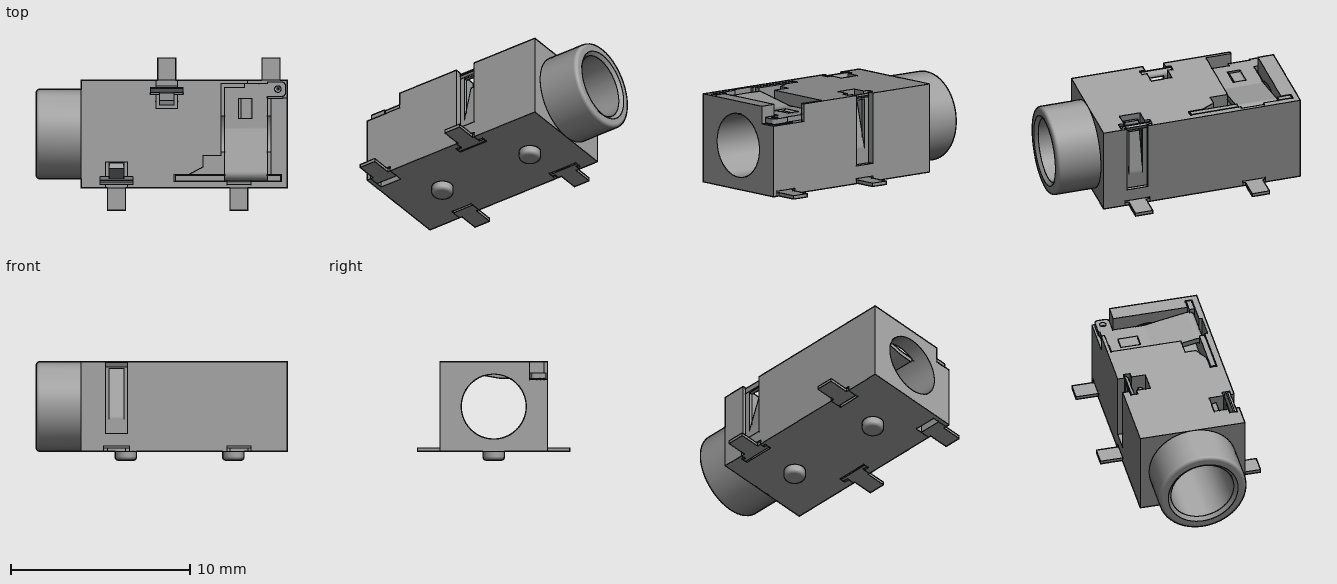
import cadquery as cq
import math

total_length = 14.0
nose_length = 2.5
body_width = 6.0
body_height = 5.0
body_side = body_width / 2
nose_radius = body_height / 2
bore_z = body_height / 2
bore_radius = 1.8
rim_fillet = 0.2
entry_chamfer = 0.2

peg_positions = (5.0, 10.99)
peg_radius = 0.6
peg_drop = 0.5
peg_fillet = 0.21

sheet = 0.2
bend_radius = 0.2
lead_width = 1.01
lead_reach = 8.5 / 2
lead_opening_height = 0.3

pocket_width = 1.2
pocket_floor = 1.01
plate_width = 1.82
tongue_width = 0.81
window_bottom = 1.8
window_top = 4.6
tongue_root_z = 1.88
tongue_root_radius = 0.48
tongue_tip_y = 1.62
tongue_fold = math.radians(18)
lip_z = 4.7

sleeve_x = 4.48
sleeve_face = 2.69
sleeve_slot = (2.38, 2.81)
sleeve_pocket_inner = 1.57
sleeve_foot_width = 1.44
sleeve_lip_inner = 2.59
sleeve_lip_outer = 2.67
sleeve_lip_tip_z = 4.94
sleeve_elbow = (1.92, 4.76)

ring_x = 7.28
ring_face = 2.49
ring_slot = (2.21, 2.6)
ring_pocket_inner = 1.41
ring_foot_width = pocket_width
ring_bend_well_outer = 2.69
ring_lip_top = 4.93
ring_lip_inner = 2.55
ring_lip_tip_z = 4.82
ring_lip_radius = 0.25
ring_elbow = (1.88, 4.34)

spring_sheet = 0.3
arm_front = 10.5
arm_rear = 12.88
arm_flat_bottom = 4.07
arm_flat_top = arm_flat_bottom + spring_sheet
arm_slope = math.radians(10.5)
arm_break_y = 0.31
arm_break_radius = 0.49
arm_bend_radius = 0.39
spring_face = 2.6
arm_corner_z = arm_flat_top + (arm_break_y + spring_face) * math.tan(arm_slope)
flat_end_front = 2.59
flat_end_rear = 2.81
flat_step_x = 11.6

tab_end_x = 13.89
tab_y = (2.09, 2.9)
tab_radius = 0.2
dimple_x = 13.47
dimple_y = 2.5
dimple_radius = 0.18
dimple_bottom_radius = 0.05
dimple_depth = 0.1

trough_x = (11.28, 12.04)
trough_y = (0.87, 1.99)
trough_depth = 0.11
trough_slope_run = 0.13

strip_x = (7.77, 13.62)
strip_bottom = 2.5
strip_slot_x = (7.69, 13.68)
strip_slot_y = (-2.65, -2.25)
leg_slot_width = 1.33
leg_slot_outer = 2.81
spring_lead_x = 11.3

switch_lead_x = 13.09
switch_face = 2.6
switch_slot = (2.0, 2.81)

recess_floor = 4.0
recess_front = 10.3
recess_rear = 13.09
recess_side = 2.81
low_wall_start = 11.77
step_front = 9.3
step_y = -1.2
step_corner_y = -1.83
step_tip_x = 8.51


def block(x_range, y_range, z_range):
    """Axis-aligned block between the given limits."""
    sides = [high - low for low, high in (x_range, y_range, z_range)]
    return cq.Workplane("XY").box(*sides, centered=False).translate((x_range[0], y_range[0], z_range[0]))


def around(middle, width):
    """Limits of a span of the given width about its middle."""
    return (middle - width / 2, middle + width / 2)


def on_side(side, near, far):
    """Y limits of a span at distances near..far from the centre plane, side = -1 or +1."""
    return tuple(sorted((side * near, side * far)))


def extruded_profile(points, middle_x, width):
    """Y-Z outline extruded along X, symmetric about middle_x."""
    profile = cq.Workplane("YZ", origin=(middle_x, 0, 0)).polyline(points).close()
    return profile.extrude(width / 2, both=True)


def lead_foot(x, side, face, foot_width):
    """Foot on the underside: a wide part inside the wall, a rounded bend and the narrow lead outside."""
    inner = face - sheet
    foot = block(around(x, foot_width), on_side(side, inner, body_side), (0, sheet))
    lead = block(around(x, lead_width), on_side(side, inner, lead_reach), (0, sheet))
    bend = block(around(x, foot_width), on_side(side, inner, face + bend_radius), (0, sheet + bend_radius))
    hollow = (
        cq.Workplane("YZ", origin=(x, side * (face + bend_radius), sheet + bend_radius))
        .circle(bend_radius)
        .extrude(foot_width / 2, both=True)
    )
    return foot.union(lead).union(bend.cut(hollow))


def shell():
    body = block((nose_length, total_length), (-body_side, body_side), (0, body_height))
    nose = cq.Workplane("YZ", origin=(0, 0, bore_z)).circle(nose_radius).extrude(nose_length)
    nose = nose.faces("<X").edges().fillet(rim_fillet)
    bore = cq.Workplane("YZ", origin=(0, 0, bore_z)).circle(bore_radius).extrude(total_length)
    entry = cq.Workplane("YZ", origin=(0, 0, bore_z)).circle(bore_radius + entry_chamfer)
    entry = entry.workplane(offset=entry_chamfer).circle(bore_radius).loft()
    return body.union(nose).cut(bore).cut(entry)


def peg(x):
    post = cq.Workplane("XY", origin=(x, 0, 0)).circle(peg_radius).extrude(-peg_drop)
    return post.faces("<Z").edges().fillet(peg_fillet)


def side_contact_cavity(x, side, slot, pocket_inner, foot_width):
    """Plate slot through the full height, pocket open to the wall and the top, and the lead opening."""
    plate_slot = block(around(x, plate_width), on_side(side, *slot), (0, body_height))
    pocket_y = on_side(side, pocket_inner, body_side)
    pocket = block(around(x, pocket_width), pocket_y, (pocket_floor, body_height))
    opening = block(around(x, foot_width), on_side(side, slot[0], body_side), (0, lead_opening_height))
    return plate_slot.union(pocket).union(opening)


def ring_bend_well():
    """Room beside the ring contact's slot for the bend into its lead."""
    return block(around(ring_x, ring_foot_width), (ring_slot[0], ring_bend_well_outer), (0, pocket_floor))


def leg_cavity(x, side, slot, top):
    """Vertical slot for a leg and the opening for its lead."""
    leg_slot = block(around(x, leg_slot_width), on_side(side, *slot), (0, top))
    opening = block(around(x, leg_slot_width), on_side(side, slot[0], body_side), (0, lead_opening_height))
    return leg_slot.union(opening)


def spring_recess():
    """Recess below the top face for the spring arm, open to the +Y wall at the rear."""
    slot_inner = strip_slot_y[1]
    outline = [
        (recess_front, recess_side),
        (low_wall_start, recess_side),
        (low_wall_start, body_side),
        (total_length, body_side),
        (total_length, switch_slot[0]),
        (recess_rear, switch_slot[0]),
        (recess_rear, slot_inner),
        (step_tip_x, slot_inner),
        (step_front, step_corner_y),
        (step_front, step_y),
        (recess_front, step_y),
    ]
    floor = cq.Workplane("XY", origin=(0, 0, recess_floor)).polyline(outline).close()
    strip_slot = block(strip_slot_x, strip_slot_y, (strip_bottom, body_height))
    return floor.extrude(body_height - recess_floor).union(strip_slot)


def make_housing():
    housing = shell()
    for x in peg_positions:
        housing = housing.union(peg(x))
    cavities = [
        side_contact_cavity(sleeve_x, -1, sleeve_slot, sleeve_pocket_inner, sleeve_foot_width),
        side_contact_cavity(ring_x, 1, ring_slot, ring_pocket_inner, ring_foot_width),
        ring_bend_well(),
        leg_cavity(spring_lead_x, -1, (-strip_slot_y[1], leg_slot_outer), body_height),
        leg_cavity(switch_lead_x, 1, switch_slot, recess_floor),
        spring_recess(),
    ]
    for cavity in cavities:
        housing = housing.cut(cavity)
    return housing


def contact_window(x, side, face):
    """Opening through the plate from which the tongue is cut."""
    return block(around(x, tongue_width), on_side(side, face - sheet, face), (window_bottom, window_top))


def contact_tongue(x, side, face, elbow):
    """Tongue that leans inward from the foot of the window and folds down at its tip."""
    inner = face - sheet
    elbow_y, elbow_z = elbow
    fold_slope = math.tan(tongue_fold)
    tip_z = elbow_z - (elbow_y - tongue_tip_y) * fold_slope
    tip_under_y = tongue_tip_y + sheet * math.sin(tongue_fold)
    tip_under_z = tip_z - sheet * math.cos(tongue_fold)
    lean = (face - elbow_y) / (elbow_z - tongue_root_z)
    run_to_tip = inner - tip_under_y - lean * (tip_under_z - tongue_root_z)
    fold_under_z = tip_under_z + run_to_tip * fold_slope / (1 + lean * fold_slope)
    fold_under_y = inner - lean * (fold_under_z - tongue_root_z)
    outline = [
        (face, window_bottom),
        (face, tongue_root_z),
        elbow,
        (tongue_tip_y, tip_z),
        (tip_under_y, tip_under_z),
        (fold_under_y, fold_under_z),
        (inner, tongue_root_z),
        (inner, window_bottom),
    ]
    tongue = extruded_profile([(side * y, z) for y, z in outline], x, tongue_width)
    root = cq.NearestToPointSelector((x, side * face, tongue_root_z))
    return tongue.edges(root).fillet(tongue_root_radius)


def make_sleeve_contact():
    """Plate with a flat-topped outward lip, a tongue and a lead on the -Y side."""
    inner = sleeve_face - sheet
    plate = extruded_profile(
        [
            (-sleeve_face, 0),
            (-inner, 0),
            (-inner, lip_z),
            (-sleeve_lip_inner, body_height),
            (-sleeve_lip_outer, body_height),
            (-sleeve_slot[1], sleeve_lip_tip_z),
            (-sleeve_face, lip_z),
        ],
        sleeve_x,
        plate_width,
    )
    contact = plate.cut(contact_window(sleeve_x, -1, sleeve_face))
    contact = contact.union(contact_tongue(sleeve_x, -1, sleeve_face, sleeve_elbow))
    return contact.union(lead_foot(sleeve_x, -1, sleeve_face, sleeve_foot_width))


def make_ring_contact():
    """Plate with a rounded outward lip, a tongue and a lead on the +Y side."""
    inner = ring_face - sheet
    plate = extruded_profile(
        [
            (inner, 0),
            (ring_face, 0),
            (ring_face, lip_z),
            (ring_slot[1], ring_lip_tip_z),
            (ring_slot[1], ring_lip_top),
            (ring_lip_inner, ring_lip_top),
            (inner, lip_z),
        ],
        ring_x,
        plate_width,
    )
    plate = plate.edges(cq.NearestToPointSelector((ring_x, inner, lip_z))).fillet(ring_lip_radius)
    contact = plate.cut(contact_window(ring_x, 1, ring_face))
    contact = contact.union(contact_tongue(ring_x, 1, ring_face, ring_elbow))
    return contact.union(lead_foot(ring_x, 1, ring_face, ring_foot_width))


def spring_arm():
    """Level flat, climbing arm and rounded turn down into the strip, as one bent sheet."""
    inner = spring_face - spring_sheet
    drop = spring_sheet / math.cos(arm_slope)
    under_break_y = arm_break_y - spring_sheet * math.tan(arm_slope / 2)
    under_corner_z = arm_corner_z - drop - spring_sheet * math.tan(arm_slope)
    arm = extruded_profile(
        [
            (flat_end_front, arm_flat_bottom),
            (flat_end_front, arm_flat_top),
            (arm_break_y, arm_flat_top),
            (-spring_face, arm_corner_z),
            (-spring_face, strip_bottom),
            (-inner, strip_bottom),
            (-inner, under_corner_z),
            (under_break_y, arm_flat_bottom),
        ],
        (arm_front + arm_rear) / 2,
        arm_rear - arm_front,
    )
    rounded_edges = [
        (arm_break_y, arm_flat_top, arm_break_radius),
        (under_break_y, arm_flat_bottom, arm_break_radius + spring_sheet),
        (-spring_face, arm_corner_z, arm_bend_radius),
        (-inner, under_corner_z, arm_bend_radius - spring_sheet),
    ]
    for y, z, radius in rounded_edges:
        arm = arm.edges(cq.NearestToPointSelector(((arm_front + arm_rear) / 2, y, z))).fillet(radius)
    return arm


def flat_end():
    """Rear extension of the flat and the rounded tab beside it."""
    level = (arm_flat_bottom, arm_flat_top)
    extension = block((flat_step_x, arm_rear), (tab_y[0], flat_end_rear), level)
    tab = block((flat_step_x, tab_end_x), tab_y, level).edges("|Z and >X").fillet(tab_radius)
    tab = tab.cut(block((flat_step_x, arm_rear), tab_y, level))
    return extension.union(tab)


def dimple():
    cone = cq.Workplane("XY", origin=(dimple_x, dimple_y, arm_flat_top)).circle(dimple_radius)
    return cone.workplane(offset=-dimple_depth).circle(dimple_bottom_radius).loft()


def trough():
    """Shallow pressed trough with a sloped front wall and a rounded rear wall."""
    front, rear = trough_x
    bottom = arm_flat_top - trough_depth
    middle_of_arc = trough_depth * math.sqrt(0.5)
    profile = (
        cq.Workplane("XZ", origin=(0, trough_y[1], 0))
        .moveTo(front, arm_flat_top)
        .lineTo(front + trough_slope_run, bottom)
        .lineTo(rear - trough_depth, bottom)
        .threePointArc(
            (rear - trough_depth + middle_of_arc, arm_flat_top - middle_of_arc), (rear, arm_flat_top)
        )
        .close()
    )
    return profile.extrude(trough_y[1] - trough_y[0])


def spring_strip():
    """Upright strip held in the -Y wall, open above the arm, with its leg and lead."""
    strip_y = (-spring_face, spring_sheet - spring_face)
    strip = block(strip_x, strip_y, (strip_bottom, body_height))
    gap = block((arm_front, arm_rear), strip_y, (recess_floor, body_height))
    leg = block(around(spring_lead_x, leg_slot_width), (-spring_face, sheet - spring_face), (0, strip_bottom))
    foot = lead_foot(spring_lead_x, -1, spring_face, leg_slot_width)
    return strip.cut(gap).union(leg).union(foot)


def make_tip_spring():
    spring = spring_arm().union(flat_end()).union(spring_strip())
    return spring.cut(dimple()).cut(trough())


def make_switch_terminal():
    """Upright plate that ends against the underside of the spring's tab, with its lead."""
    plate = block(
        around(switch_lead_x, leg_slot_width), (switch_face - sheet, switch_face), (0, arm_flat_bottom)
    )
    return plate.union(lead_foot(switch_lead_x, 1, switch_face, leg_slot_width))


housing = make_housing()
sleeve_contact = make_sleeve_contact()
ring_contact = make_ring_contact()
tip_spring = make_tip_spring()
switch_terminal = make_switch_terminal()

result = cq.Compound.makeCompound(
    [
        housing.val(),
        sleeve_contact.val(),
        ring_contact.val(),
        tip_spring.val(),
        switch_terminal.val(),
    ]
)